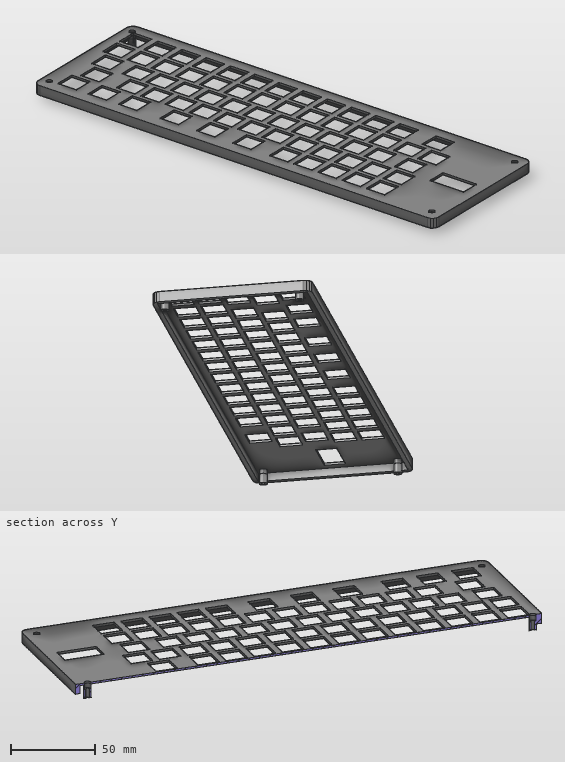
import cadquery as cq
import math

length = 297.2
width = 96.5
total_height = 10.0
plate_depth = 6.5
top_thickness = 1.5
wall_thickness = 3.0
corner_radius = 4.8
corner_facets = 4

key_size = 13.7
row_count = 5
top_row_y = 33.5
bottom_row_y = -32.7
widest_row_keys = 14
first_key_x = -134.3
last_key_x = 99.3
key_pitch = (last_key_x - first_key_x) / (widest_row_keys - 1)
row_pitch = (top_row_y - bottom_row_y) / (row_count - 1)

number_row_last_x = 90.0
home_row_first_x = -130.2
home_row_run_x = -107.5
home_row_last_x = 94.5
lower_row_first_x = -125.7
lower_row_run_x = -99.3
space_row_first_x = -130.2
space_row_wide_run_x = -54.5
space_row_run_x = 26.7

window_length = 25.0
window_width = 12.8
window_x = 128.0
window_y = -2.0

post_diameter = 4.8
bore_diameter = 2.0
bore_mouth_diameter = 4.0
bore_mouth_depth = 4.2
post_xs = (-143.0, 141.0)
post_ys = (41.3, -40.0)
post_points = [(x, y) for x in post_xs for y in post_ys]


def key_run(start_x, count, spacing=1.0):
    """X centres of evenly spaced openings; spacing is in key pitches."""
    return [start_x + i * spacing * key_pitch for i in range(count)]


def key_rows():
    """X centres of the openings in each row, from the +Y row to the -Y row."""
    number_row = key_run(first_key_x, 12) + [number_row_last_x]
    upper_row = key_run(first_key_x, widest_row_keys)
    home_row = [home_row_first_x] + key_run(home_row_run_x, 11) + [home_row_last_x]
    lower_row = [lower_row_first_x] + key_run(lower_row_run_x, 12)
    space_row = (
        key_run(space_row_first_x, 3, 1.25)
        + key_run(space_row_wide_run_x, 3, 1.5)
        + key_run(space_row_run_x, 5)
    )
    return [number_row, upper_row, home_row, lower_row, space_row]


def faceted_outline():
    """Outline points; each corner is a quarter turn made of equal flat facets."""
    corner_x = length / 2 - corner_radius
    corner_y = width / 2 - corner_radius
    centres = [(corner_x, corner_y), (-corner_x, corner_y), (-corner_x, -corner_y), (corner_x, -corner_y)]
    points = []
    for quarter, (x, y) in enumerate(centres):
        for step in range(corner_facets + 1):
            angle = math.radians(90 * (quarter + step / corner_facets))
            points.append((x + corner_radius * math.cos(angle), y + corner_radius * math.sin(angle)))
    return points


def tray():
    """Shallow tray, open at the bottom, with its top face at Z = 0."""
    block = cq.Workplane("XY").polyline(faceted_outline()).close().extrude(-plate_depth)
    cavity = (
        cq.Workplane("XY")
        .workplane(offset=-plate_depth)
        .rect(length - 2 * wall_thickness, width - 2 * wall_thickness)
        .extrude(plate_depth - top_thickness)
    )
    return block.cut(cavity)


def key_openings():
    """Square prisms that cut the key openings."""
    points = [
        (x, top_row_y - row * row_pitch)
        for row, centres in enumerate(key_rows())
        for x in centres
    ]
    return cq.Workplane("XY").pushPoints(points).rect(key_size, key_size).extrude(-plate_depth)


def display_window():
    """Prism that cuts the display window."""
    return (
        cq.Workplane("XY")
        .center(window_x, window_y)
        .rect(window_length, window_width)
        .extrude(-plate_depth)
    )


def post_cylinders(diameter, depth):
    """Cylinders going down from the top face at the four posts."""
    return cq.Workplane("XY").pushPoints(post_points).circle(diameter / 2).extrude(-depth)


result = (
    tray()
    .union(post_cylinders(post_diameter, total_height))
    .cut(key_openings())
    .cut(display_window())
    .cut(post_cylinders(bore_diameter, total_height))
    .cut(post_cylinders(bore_mouth_diameter, bore_mouth_depth))
)